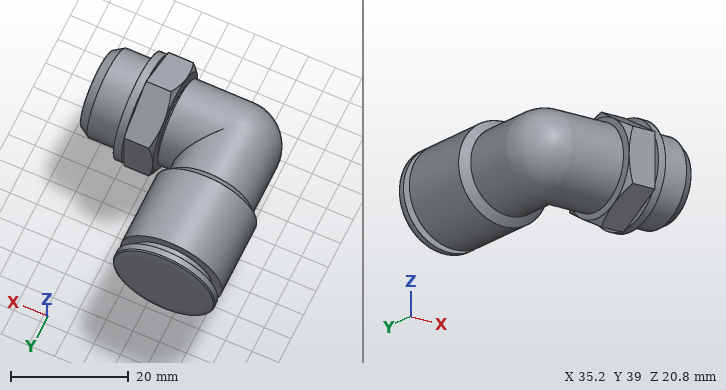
import cadquery as cq
import math


body_radius = 8.0

sleeve_radius = 9.5
sleeve_flare_start = 10.3
sleeve_start = 11.7
sleeve_end = 25.78
collar_start = 27.45
collar_end = 29.0
collar_neck_radius = 7.72
collar_chamfer_length = 0.27
collar_chamfer_depth = 0.15
collar_rim_step = 1.25
collar_rim_height = 0.15

body_end = 10.75
hex_start = 11.25
hex_end = 16.7
flange_end = 18.2
stub_end = 25.7
hex_neck_radius = 6.95
flange_radius = 10.0
stub_radius = 8.25
stub_chamfer_length = 1.8
stub_chamfer_depth = 1.15

hex_across_corners = 20.8
hex_flat_radius = hex_across_corners / 2 * math.cos(math.pi / 6)
hex_bevel_length = 0.78


def y_disc(start, end, radius):
    """Cylinder on the Y axis between two stations."""
    return cq.Workplane("XZ", origin=(0, start, 0)).circle(radius).extrude(start - end)


def x_disc(start, end, radius):
    """Cylinder on the X axis between two stations."""
    return cq.Workplane("YZ", origin=(start, 0, 0)).circle(radius).extrude(end - start)


def elbow_body():
    """Two equal cylinders mitred together, with a ball rounding the corner."""
    ball = cq.Workplane("XY").sphere(body_radius)
    return ball.union(y_disc(0, sleeve_flare_start, body_radius)).union(x_disc(0, body_end, body_radius))


def tube_end():
    """Flared sleeve, narrow neck and release collar, revolved about Y."""
    rim_radius = sleeve_radius - collar_rim_step
    shoulder = collar_end - collar_rim_height
    profile = (
        cq.Workplane("XY")
        .moveTo(0, sleeve_flare_start)
        .lineTo(body_radius, sleeve_flare_start)
        .lineTo(sleeve_radius, sleeve_start)
        .lineTo(sleeve_radius, sleeve_end)
        .lineTo(collar_neck_radius, sleeve_end)
        .lineTo(collar_neck_radius, collar_start)
        .lineTo(sleeve_radius, collar_start)
        .lineTo(sleeve_radius, shoulder - collar_chamfer_length)
        .lineTo(sleeve_radius - collar_chamfer_depth, shoulder)
        .lineTo(rim_radius, collar_end)
        .lineTo(0, collar_end)
        .close()
    )
    return profile.revolve(360, (0, 0, 0), (0, 1, 0))


def hex_nut():
    """Hexagon with corners on +Z and -Z, bevelled on the end facing the elbow."""
    corner_radius = hex_across_corners / 2
    prism = (
        cq.Workplane("YZ", origin=(hex_start, 0, 0))
        .transformed(rotate=(0, 0, 90))
        .polygon(6, hex_across_corners)
        .extrude(hex_end - hex_start)
    )
    bevel_envelope = (
        cq.Workplane("XY")
        .moveTo(hex_start, 0)
        .lineTo(hex_start, hex_flat_radius)
        .lineTo(hex_start + hex_bevel_length, corner_radius)
        .lineTo(hex_end, corner_radius)
        .lineTo(hex_end, 0)
        .close()
        .revolve(360, (0, 0, 0), (1, 0, 0))
    )
    return prism.intersect(bevel_envelope)


def threaded_stub():
    """Plain stub with a long lead-in chamfer at its free end."""
    stub = x_disc(flange_end, stub_end, stub_radius)
    return stub.faces(">X").edges().chamfer(stub_chamfer_length, stub_chamfer_depth)


result = (
    elbow_body()
    .union(tube_end())
    .union(x_disc(body_end, hex_start, hex_neck_radius))
    .union(hex_nut())
    .union(x_disc(hex_end, flange_end, flange_radius))
    .union(threaded_stub())
)